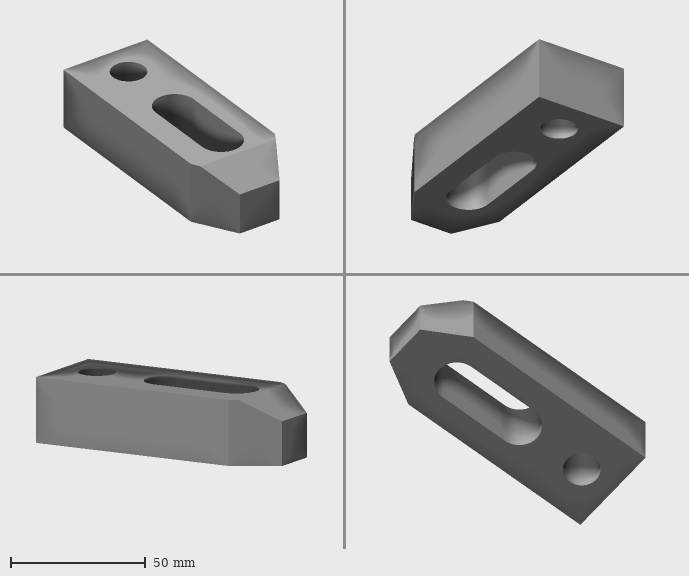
import cadquery as cq
import math

length = 100.0
width = 38.0
height = 25.0

nose_angle = math.radians(30)
nose_width = 18.0
top_slope_length = 14.0
side_slope_length = (width - nose_width) / 2 / math.tan(nose_angle)
top_slope_drop = top_slope_length * math.tan(nose_angle)

hole_diameter = 14.0
hole_x = 15.0
slot_width = 17.0
slot_length = 47.0
slot_x = 60.0


def make_body():
    """Block whose plan outline tapers to the nose."""
    shoulder_x = length - side_slope_length
    outline = [
        (0, -width / 2),
        (shoulder_x, -width / 2),
        (length, -nose_width / 2),
        (length, nose_width / 2),
        (shoulder_x, width / 2),
        (0, width / 2),
    ]
    return cq.Workplane("XY").polyline(outline).close().extrude(height)


def make_top_slope():
    """Wedge removed from the upper edge of the nose."""
    corners = [
        (length - top_slope_length, height),
        (length, height),
        (length, height - top_slope_drop),
    ]
    return cq.Workplane("XZ").polyline(corners).close().extrude(width / 2, both=True)


def make_hole():
    """Round through hole near the rear."""
    return cq.Workplane("XY").center(hole_x, 0).circle(hole_diameter / 2).extrude(height)


def make_slot():
    """Round-ended through slot along the strap."""
    return cq.Workplane("XY").center(slot_x, 0).slot2D(slot_length, slot_width).extrude(height)


result = make_body().cut(make_top_slope()).cut(make_hole()).cut(make_slot())